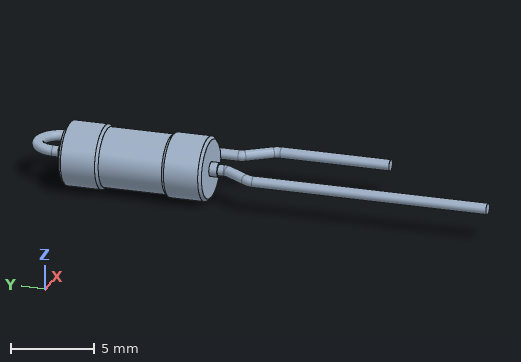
import cadquery as cq
import math

cap_dia = 4.0
barrel_dia = 3.72
body_length = 9.07
cap_length = 2.53
cap_chamfer = 0.18
cap_taper_length = 0.18
collar_dia = 0.9
collar_length = 0.5

wire_dia = 0.7
return_x = 2.76
loop_start_y = 5.47
upper_bend_y = -5.55
lower_bend_y = -7.37
upper_bend_radius = 0.45
lower_bend_radius = 0.9
overall_length = 29.73
overall_width = 6.42
short_lead_end_y = -14.57
long_lead_end_y = loop_start_y + (return_x + wire_dia) / 2 - overall_length

splay = overall_width - cap_dia / 2 - return_x - wire_dia / 2

wire_overlap = 0.3
wire_root_y = body_length / 2 - wire_overlap


def make_body():
    """Barrel with a bevelled cap and a small collar at each end."""
    half = body_length / 2
    cap_radius = cap_dia / 2
    cap_inner_y = half - cap_length
    upper_profile = [
        (barrel_dia / 2, cap_inner_y),
        (cap_radius, cap_inner_y + cap_taper_length),
        (cap_radius, half - cap_chamfer),
        (cap_radius - cap_chamfer, half),
        (collar_dia / 2, half),
        (collar_dia / 2, half + collar_length),
        (0, half + collar_length),
    ]
    lower_profile = [(radius, -y) for radius, y in reversed(upper_profile)]
    profile = cq.Workplane("XY").polyline(lower_profile + upper_profile).close()
    return profile.revolve(360, (0, 0), (0, 1))


def add_splayed_lead(path, x, side, end_y):
    """Continue a centreline down -Y, stepping sideways through two rounded bends."""
    drop = upper_bend_y - lower_bend_y
    angle = math.atan2(splay, drop)
    upper_tangent = upper_bend_radius * math.tan(angle / 2)
    lower_tangent = lower_bend_radius * math.tan(angle / 2)
    end_x = x + side * splay
    slant_x = side * math.sin(angle)
    slant_y = -math.cos(angle)
    upper_arc_end = (x + upper_tangent * slant_x, upper_bend_y + upper_tangent * slant_y)
    lower_arc_start = (end_x - lower_tangent * slant_x, lower_bend_y - lower_tangent * slant_y)
    return (
        path.lineTo(x, upper_bend_y + upper_tangent)
        .tangentArcPoint(upper_arc_end, relative=False)
        .lineTo(*lower_arc_start)
        .tangentArcPoint((end_x, lower_bend_y - lower_tangent), relative=False)
        .lineTo(end_x, end_y)
    )


def sweep_wire(path, start_y):
    """Round wire along a centreline that starts on the body axis."""
    plane = cq.Plane(origin=(0, start_y, 0), xDir=(1, 0, 0), normal=(0, 1, 0))
    return cq.Workplane(plane).circle(wire_dia / 2).sweep(path)


def make_long_lead():
    path = cq.Workplane("XY").moveTo(0, -wire_root_y)
    return sweep_wire(add_splayed_lead(path, 0, -1, long_lead_end_y), -wire_root_y)


def make_return_lead():
    loop_top = (return_x / 2, loop_start_y + return_x / 2)
    path = (
        cq.Workplane("XY")
        .moveTo(0, wire_root_y)
        .lineTo(0, loop_start_y)
        .threePointArc(loop_top, (return_x, loop_start_y))
    )
    return sweep_wire(add_splayed_lead(path, return_x, 1, short_lead_end_y), wire_root_y)


result = make_body().union(make_long_lead()).union(make_return_lead())